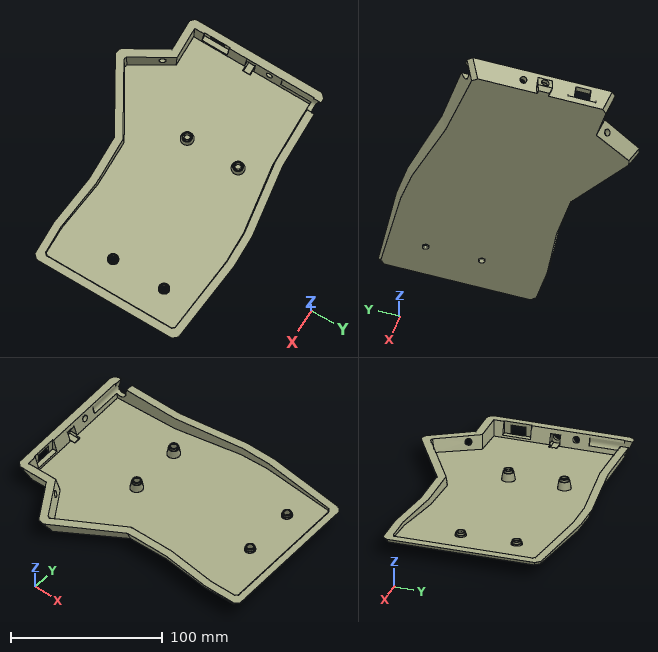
import cadquery as cq
import math


width = 193.0
back_left_y = 103.0
back_bend_x = 55.8
peak_y = 110.0
peak_left_x = 107.0
peak_right_x = 130.0
back_right_y = 102.5
front_right_y = -7.5
front_right_x = 165.4
front_mid_y = -2.5
front_bend_x = 128.0
neck_x = 25.3
tip_y = -30.9
neck_angle = math.radians(60)
corner = 3.0
inner_corner = 1.5
rim_width = 5.8

taper_center = (96.5, 51.1)
outer_taper = 0.007151
inner_taper = 0.003472
left_drift = 0.55
back_left_drift = 0.46
thumb_inner_drift = 0.33
front_inner_drift = 0.11
taper_depth = 15.5
left_depth = 12.2
tilt = 2.8
floor_thickness = 1.7

standoff_xs = (70.8, 166.3)
standoff_ys = (38.5, 77.5)
tube_diameter = 6.0
tube_height = 1.5
screw_diameter = 4.5
screw_depth = 5.8
cone_top_diameter = 7.1
cone_spread = 0.35

cable_left = 6.4
cable_width = 8.7
cable_radius = 3.9
cable_depth = 7.7
cable_front_y = 73.0

jack_y = 49.2
jack_z = -6.0
jack_face_x = 1.4
jack_width = 10.0
jack_top = -2.0
jack_bottom = -9.5
jack_foot_side = 1.2
jack_hole_diameter = 5.2
jack_wall = 2.5
jack_pocket_width = 7.0
jack_pocket_end = 12.2
jack_pocket_bottom = -10.8
jack_pocket_chamfer = 1.2

access_diameter = 4.5
access_rise = 20.0
access_length = 11.5
reset_center = (3.3, 63.7, -6.0)
neck_hole_distance = 6.2
neck_hole_inset = 2.9
neck_hole_z = -5.4

switch_x = 5.0
switch_y = 22.5
switch_length = 19.3
switch_bottom = -8.9
window_length = 10.5
window_top = -2.5
window_chamfer = 0.8

tip_corner_y = tip_y - corner * math.cos(neck_angle)
tip_corner_x = neck_x - tip_corner_y / math.tan(neck_angle)
thumb_end_x = tip_corner_x + (front_mid_y - tip_corner_y) * math.tan(neck_angle)

rim_corners = [
    (0, 0),
    (neck_x, 0),
    (tip_corner_x, tip_corner_y),
    (thumb_end_x, front_mid_y),
    (front_bend_x, front_mid_y),
    (front_right_x, front_right_y),
    (width, front_right_y),
    (width, back_right_y),
    (peak_right_x, peak_y),
    (peak_left_x, peak_y),
    (back_bend_x, back_left_y),
    (0, back_left_y),
]
LEFT_FRONT, NECK, TIP = 0, 1, 2
RIGHT_FRONT, RIGHT_BACK, LEFT_BACK = 6, 7, 11


def box_between(x_range, y_range, z_range):
    size = [high - low for low, high in (x_range, y_range, z_range)]
    return cq.Workplane("XY").box(*size, centered=False).translate((x_range[0], y_range[0], z_range[0]))


def centered_range(middle, length):
    return middle - length / 2, middle + length / 2


def direction(start, end):
    length = math.dist(start, end)
    return (end[0] - start[0]) / length, (end[1] - start[1]) / length


def inset(corners, distance):
    """Corners of the outline moved inwards by an even distance."""
    moved = []
    for i, (x, y) in enumerate(corners):
        ax, ay = direction(corners[i - 1], corners[i])
        bx, by = direction(corners[i], corners[(i + 1) % len(corners)])
        reach = distance / (1 + ax * bx + ay * by)
        moved.append((x - (ay + by) * reach, y + (ax + bx) * reach))
    return moved


def chamfered(corners, chosen, leg):
    """Outline with the chosen corners cut off by the given leg."""
    points = []
    for i, (x, y) in enumerate(corners):
        if i not in chosen:
            points.append((x, y))
            continue
        for neighbour in (corners[i - 1], corners[(i + 1) % len(corners)]):
            dx, dy = direction((x, y), neighbour)
            points.append((x + dx * leg, y + dy * leg))
    return points


def lowered(corners, taper):
    """Corners drawn in towards the taper center at the full taper depth."""
    keep = 1 - taper * taper_depth
    cx, cy = taper_center
    return [(cx + (x - cx) * keep, cy + (y - cy) * keep) for x, y in corners]


def tapered_solid(top, bottom, chosen, leg):
    sketch = cq.Workplane("XY").polyline(chamfered(top, chosen, leg)).close()
    sketch = sketch.workplane(offset=-taper_depth).polyline(chamfered(bottom, chosen, leg)).close()
    return sketch.loft(ruled=True)


def above_slope(rise):
    """Everything higher than the underside plane raised by the given amount."""
    span = 3 * width
    blank = cq.Workplane("XY").box(span, span, span, centered=(True, True, False))
    blank = blank.rotate((0, 0, 0), (0, 1, 0), -tilt)
    return blank.translate((left_drift * left_depth, 0, rise - left_depth))


def outer_body():
    bottom = lowered(rim_corners, outer_taper)
    left_x = left_drift * taper_depth
    bottom[LEFT_FRONT] = (left_x, bottom[LEFT_FRONT][1])
    bottom[LEFT_BACK] = (left_x, back_left_y - back_left_drift * taper_depth)
    cut_corners = (LEFT_FRONT, TIP, RIGHT_FRONT, RIGHT_BACK, LEFT_BACK)
    return tapered_solid(rim_corners, bottom, cut_corners, corner)


def inner_cavity():
    top = inset(rim_corners, rim_width)
    bottom = lowered(top, inner_taper)
    front_y = top[LEFT_FRONT][1] + front_inner_drift * taper_depth
    bottom[LEFT_FRONT] = (bottom[LEFT_FRONT][0], front_y)
    bottom[NECK] = (top[NECK][0] + thumb_inner_drift * taper_depth, front_y)
    bottom[TIP] = (top[TIP][0] + thumb_inner_drift * taper_depth, bottom[TIP][1])
    cavity = tapered_solid(top, bottom, (TIP, RIGHT_FRONT, RIGHT_BACK), inner_corner)
    return cavity.intersect(above_slope(floor_thickness))


def jack_housing():
    """Block on the left wall with a foot that narrows down to the underside."""
    back_x = rim_width + jack_wall
    foot_height = left_depth + jack_bottom
    block = box_between((jack_face_x, back_x), centered_range(jack_y, jack_width), (jack_bottom, jack_top))
    depth = back_x - jack_face_x
    foot = (
        cq.Workplane("XY", origin=(back_x, jack_y, jack_bottom))
        .center(-depth / 2, 0)
        .rect(depth, jack_width)
        .workplane(offset=-foot_height)
        .center(foot_height / 2, 0)
        .rect(depth - foot_height, jack_width - 2 * jack_foot_side)
        .loft()
    )
    return block.union(foot)


def jack_opening():
    pocket_start = jack_face_x + jack_wall
    pocket = box_between(
        (pocket_start, jack_pocket_end),
        centered_range(jack_y, jack_pocket_width),
        (jack_pocket_bottom, jack_top - jack_wall / 2),
    )
    pocket = pocket.faces("<Z").edges("|X").chamfer(jack_pocket_chamfer)
    hole = cq.Workplane("YZ", origin=(0, jack_y, jack_z)).circle(jack_hole_diameter / 2)
    hole = hole.extrude(jack_pocket_end)
    return pocket.union(hole)


def standoff(x, y):
    cone_height = taper_depth - tube_height
    cone_base_diameter = cone_top_diameter + cone_spread * cone_height
    profile = [
        (0, 0),
        (tube_diameter / 2, 0),
        (tube_diameter / 2, -tube_height),
        (cone_top_diameter / 2, -tube_height),
        (cone_base_diameter / 2, -taper_depth),
        (0, -taper_depth),
    ]
    post = cq.Workplane("XZ").polyline(profile).close().revolve(360, (0, 0, 0), (0, 1, 0))
    return post.translate((x, y, 0))


def screw_hole(x, y):
    return cq.Workplane("XY", origin=(x, y, 0)).circle(screw_diameter / 2).extrude(-screw_depth)


def access_hole(center, heading):
    """Round hole about a point on the outer wall, heading inwards and upwards."""
    hole = cq.Workplane("YZ").circle(access_diameter / 2).extrude(access_length / 2, both=True)
    hole = hole.rotate((0, 0, 0), (0, 1, 0), -access_rise)
    return hole.rotate((0, 0, 0), (0, 0, 1), heading).translate(center)


def neck_access_hole():
    """Hole square to the neck wall in plan."""
    center = (
        neck_x + neck_hole_distance * math.cos(neck_angle) + neck_hole_inset * math.sin(neck_angle),
        -neck_hole_distance * math.sin(neck_angle) + neck_hole_inset * math.cos(neck_angle),
        neck_hole_z,
    )
    return access_hole(center, 90 - math.degrees(neck_angle))


def cable_notch():
    notch = box_between(
        (cable_left, cable_left + cable_width),
        (cable_front_y, peak_y),
        (-cable_depth, cable_depth),
    )
    return notch.faces("<Z").edges("|Y").fillet(cable_radius)


def switch_opening():
    recess = box_between(
        (switch_x, rim_width + switch_x),
        centered_range(switch_y, switch_length),
        (switch_bottom, 0),
    )
    window = box_between(
        (0, rim_width),
        centered_range(switch_y, window_length),
        (switch_bottom, window_top),
    )
    return recess.union(window.faces("<Z").edges("|X").chamfer(window_chamfer))


solid = outer_body().union(jack_housing()).cut(inner_cavity())
standoff_places = [(x, y) for x in standoff_xs for y in standoff_ys]
for x, y in standoff_places:
    solid = solid.union(standoff(x, y))
solid = solid.intersect(above_slope(0))
for x, y in standoff_places:
    solid = solid.cut(screw_hole(x, y))

for opening in (
    jack_opening(),
    cable_notch(),
    switch_opening(),
    access_hole(reset_center, 0),
    neck_access_hole(),
):
    solid = solid.cut(opening)

result = solid